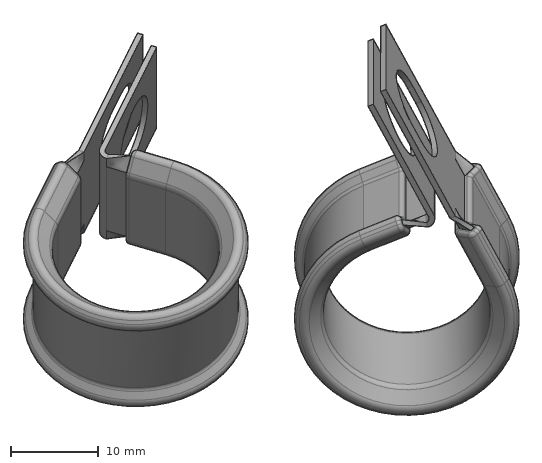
import cadquery as cq
import math


inner_radius = 9.53
web_outer_radius = 11.7
rim_outer_radius = 12.83
rim_thickness = 2.05
width = 15.65
rim_round = 0.8
outer_root_round = 0.65
inner_root_round = 1.0

ring_sweep = 270
tab_arm_length = 7.75
arm_end_round = 0.5

strap_inner_radius = 10.25
strap_thickness = 0.65
strap_half_width = 7.15
tab_tip_y = 28.95
tab_gap = 1.45
bent_tab_setback = 1.15
bend_inner_radius = 0.6

fold_width = 1.75
fold_length = 2.5
fold_angle = math.radians(45)

hole_diameter = 8.7
slot_length = 11.05
hole_to_tip = 8.35

strap_outer_radius = strap_inner_radius + strap_thickness
bent_tab_outer_x = -strap_inner_radius + tab_gap
bend_outer_radius = bend_inner_radius + strap_thickness
bend_start_x = bent_tab_outer_x + bend_outer_radius
bent_arm_length = -bend_start_x - fold_length
tab_base_y = tab_arm_length + fold_length
bent_tab_tip_y = tab_tip_y - bent_tab_setback
hole_y = tab_tip_y - hole_to_tip


def rounded_outline(plane, corners):
    """Closed outline from (u, v, radius) corners, each rounded to its own radius."""
    outline = None
    for index, (u, v, radius) in enumerate(corners):
        corner = cq.Vector(u, v)
        before = cq.Vector(*corners[index - 1][:2])
        after = cq.Vector(*corners[(index + 1) % len(corners)][:2])
        to_before = (before - corner).normalized()
        to_after = (after - corner).normalized()
        half_angle = to_before.getAngle(to_after) / 2
        tangent_length = radius / math.tan(half_angle)
        middle_length = radius / math.sin(half_angle) - radius
        start = corner + to_before * tangent_length
        middle = corner + (to_before + to_after).normalized() * middle_length
        end = corner + to_after * tangent_length
        if outline is None:
            outline = cq.Workplane(plane).moveTo(start.x, start.y)
        else:
            outline = outline.lineTo(start.x, start.y)
        outline = outline.threePointArc((middle.x, middle.y), (end.x, end.y))
    return outline.close()


def cushion_corners():
    """Corners (radius, z, rounding): a web with a 45 degree flared rim on each edge."""
    rim_rise = rim_thickness / math.sqrt(2)
    corner_overhang = rim_round * (math.sqrt(2) - 1)
    rim_outer = rim_outer_radius + corner_overhang
    rim_top = width / 2 + corner_overhang
    outer_root = rim_top - rim_rise - (rim_outer - web_outer_radius)
    inner_root = rim_top - (rim_outer - rim_rise - inner_radius)
    upper = [
        (inner_radius, inner_root, inner_root_round),
        (rim_outer - rim_rise, rim_top, rim_round),
        (rim_outer, rim_top - rim_rise, rim_round),
        (web_outer_radius, outer_root, outer_root_round),
    ]
    lower = [(r, -z, rounding) for r, z, rounding in reversed(upper)]
    return upper + lower


def make_cushion():
    corners = cushion_corners()
    mirrored = [(-r, z, rounding) for r, z, rounding in corners]
    ring = rounded_outline("XZ", mirrored).revolve(ring_sweep, (0, 0), (0, 1))
    tab_arm = rounded_outline("XZ", mirrored).extrude(-tab_arm_length)
    bent_arm = rounded_outline("YZ", corners).extrude(-bent_arm_length)
    tab_arm = tab_arm.faces(">Y").edges().fillet(arm_end_round)
    bent_arm = bent_arm.faces("<X").edges().fillet(arm_end_round)
    return ring.union(tab_arm).union(bent_arm)


def hole_cutter(length):
    """Cutter along X at the hole position: a round hole, lengthened along Y when longer than its width."""
    profile = cq.Workplane("YZ").center(hole_y, 0)
    if length > hole_diameter:
        profile = profile.slot2D(length, hole_diameter)
    else:
        profile = profile.circle(hole_diameter / 2)
    return profile.extrude(-rim_outer_radius)


def make_straight_tab():
    tab_length = tab_tip_y - tab_base_y
    tab = (
        cq.Workplane("XY", origin=(-strap_outer_radius, tab_base_y, 0))
        .box(strap_thickness, tab_length, 2 * strap_half_width, centered=(False, False, True))
    )
    return tab.cut(hole_cutter(slot_length))


def make_bent_tab():
    """Strap leaving the ring along -X, then bent a right angle to run beside the straight tab."""
    bend_center_y = strap_inner_radius + bend_outer_radius
    tab = (
        cq.Workplane("XY")
        .moveTo(bend_start_x, strap_inner_radius)
        .radiusArc((bent_tab_outer_x, bend_center_y), bend_outer_radius)
        .lineTo(bent_tab_outer_x, bent_tab_tip_y)
        .lineTo(bent_tab_outer_x + strap_thickness, bent_tab_tip_y)
        .lineTo(bent_tab_outer_x + strap_thickness, bend_center_y)
        .radiusArc((bend_start_x, strap_outer_radius), -bend_inner_radius)
        .close()
        .extrude(strap_half_width, both=True)
    )
    return tab.cut(hole_cutter(hole_diameter))


def make_strap_neck(arm_end):
    """Flat strip between two edges that twist from flat at the tab to folded outward at the cushion.

    The plane sits on the end of an arm: local x points outward from the ring, local y along Z.
    """
    hinge = strap_half_width - fold_width
    inner_crease = hinge + strap_thickness * math.tan(fold_angle / 2)
    outer_tip = (
        strap_outer_radius + fold_width * math.sin(fold_angle),
        hinge + fold_width * math.cos(fold_angle),
    )
    inner_tip = (
        outer_tip[0] - strap_thickness * math.cos(fold_angle),
        outer_tip[1] + strap_thickness * math.sin(fold_angle),
    )
    base = [(strap_inner_radius, hinge), (strap_outer_radius, hinge)]
    folded = base + [outer_tip, inner_tip, (strap_inner_radius, inner_crease)]
    flat = base + [
        (strap_outer_radius, strap_half_width),
        (strap_inner_radius, strap_half_width),
        (strap_inner_radius, inner_crease),
    ]
    neck = (
        cq.Workplane(arm_end)
        .center(strap_inner_radius + strap_thickness / 2, 0)
        .rect(strap_thickness, 2 * hinge).extrude(fold_length)
    )
    fold = (
        cq.Workplane(arm_end).polyline(folded).close()
        .workplane(offset=fold_length).polyline(flat).close()
        .loft(ruled=True)
    )
    return neck.union(fold).union(fold.mirror("XY"))


tab_arm_end = cq.Plane(origin=(0, tab_arm_length, 0), xDir=(-1, 0, 0), normal=(0, 1, 0))
bent_arm_end = cq.Plane(origin=(-bent_arm_length, 0, 0), xDir=(0, 1, 0), normal=(-1, 0, 0))

result = (
    make_cushion()
    .union(make_strap_neck(tab_arm_end))
    .union(make_straight_tab())
    .union(make_strap_neck(bent_arm_end))
    .union(make_bent_tab())
    .solids()
)